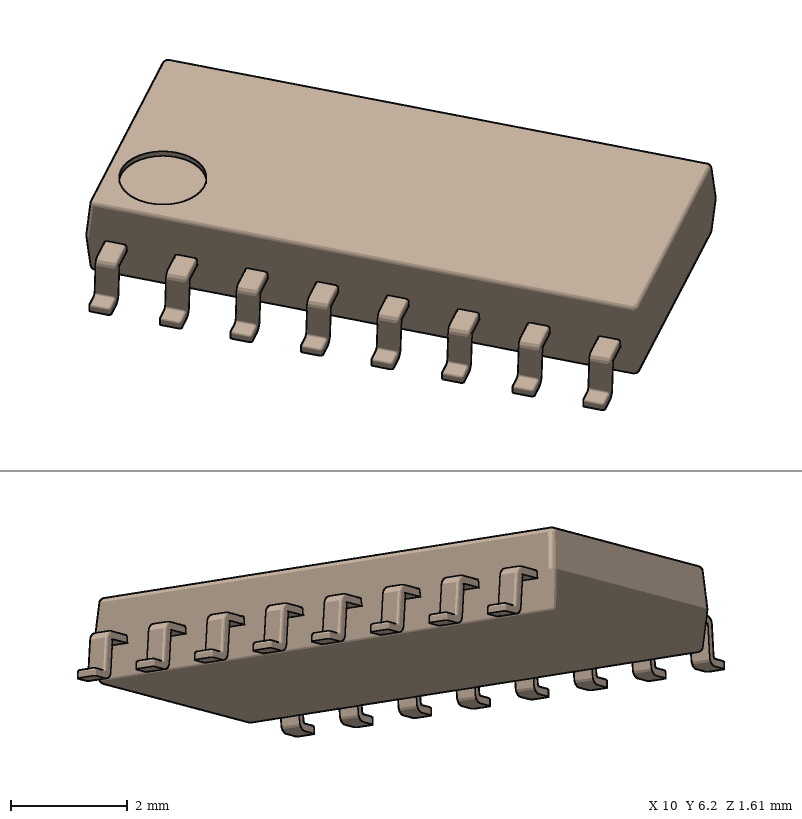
import cadquery as cq
import math

body_length = 10.0
body_width = 4.4
body_height = 1.51
standoff = 0.1
draft_angle = 5.0
body_edge_radius = 0.1

mark_radius = 0.75
mark_inset = 1.07
mark_depth = 0.1
mark_thickness = 0.05

lead_count = 8
lead_pitch = 1.27
lead_width = 0.4
lead_thickness = 0.15
lead_span = 6.2
lead_top = 0.87
shoulder_span = 5.48
leg_angle = 5.0
outer_bend_radius = 0.15
inner_bend_radius = 0.04
lead_edge_radius = 0.05

half_height = body_height / 2
parting_height = standoff + half_height
body_top = standoff + body_height
mark_x = mark_inset - body_length / 2
mark_y = mark_inset - body_width / 2
mark_floor = body_top - mark_depth - mark_thickness
first_lead_x = -lead_pitch * (lead_count - 1) / 2


def body_half(direction, outer_face):
    """One half of the package, tapering up (1) or down (-1) from the parting plane."""
    half = (
        cq.Workplane("XY", origin=(0, 0, parting_height))
        .rect(body_length, body_width)
        .extrude(direction * half_height, taper=draft_angle)
    )
    half = half.edges("not(|X or |Y)").fillet(body_edge_radius)
    return half.faces(outer_face).edges().fillet(body_edge_radius)


def mark_cylinder(height):
    """A cylinder that stands on the floor of the pin-1 recess."""
    return cq.Workplane("XY", origin=(mark_x, mark_y, mark_floor)).circle(mark_radius).extrude(height)


def leg_outer_y(height):
    """Y of the outer side of the +Y leg, which leans outward toward the foot."""
    return shoulder_span / 2 + (lead_top - height) * math.tan(math.radians(leg_angle))


def leg_inner_y(height):
    """Y of the inner side of the +Y leg."""
    return leg_outer_y(height) - lead_thickness / math.cos(math.radians(leg_angle))


def round_bends(strip, corner, radius):
    """Round the bend at a (Y, Z) corner and its mirror image on the other leg."""
    y, z = corner
    for bend_y in (y, -y):
        bend = cq.selectors.NearestToPointSelector((0, bend_y, z))
        strip = strip.edges(bend).fillet(radius)
    return strip


def make_lead():
    """A gull-wing strip centred on X = 0."""
    tip_y = lead_span / 2
    arm_underside = lead_top - lead_thickness

    shoulder = (leg_outer_y(lead_top), lead_top)
    instep = (leg_outer_y(lead_thickness), lead_thickness)
    tip_upper = (tip_y, lead_thickness)
    tip_lower = (tip_y, 0)
    heel = (leg_inner_y(0), 0)
    armpit = (leg_inner_y(arm_underside), arm_underside)

    half_outline = [shoulder, instep, tip_upper, tip_lower, heel, armpit]
    mirrored_outline = [(-y, z) for y, z in reversed(half_outline)]
    strip = (
        cq.Workplane("YZ", origin=(-lead_width / 2, 0, 0))
        .polyline(half_outline + mirrored_outline)
        .close()
        .extrude(lead_width)
    )

    strip = round_bends(strip, shoulder, outer_bend_radius)
    strip = round_bends(strip, heel, outer_bend_radius)
    strip = round_bends(strip, instep, inner_bend_radius)

    strip = strip.faces("<Y or >Y").edges("|Z").fillet(lead_edge_radius)
    return strip.faces(">Z").edges("|Y").fillet(lead_edge_radius)


straight_lead = make_lead()
leads = []
for index in range(lead_count):
    leads.append(straight_lead.translate((first_lead_x + index * lead_pitch, 0, 0)))

mark = mark_cylinder(mark_thickness)

body = body_half(1, ">Z").union(body_half(-1, "<Z"))
body = body.cut(mark_cylinder(mark_thickness + mark_depth))
for lead in leads:
    body = body.cut(lead)

lead_solids = [lead.solids().val() for lead in leads]
result = cq.Compound.makeCompound([body.solids().val(), mark.val(), *lead_solids])